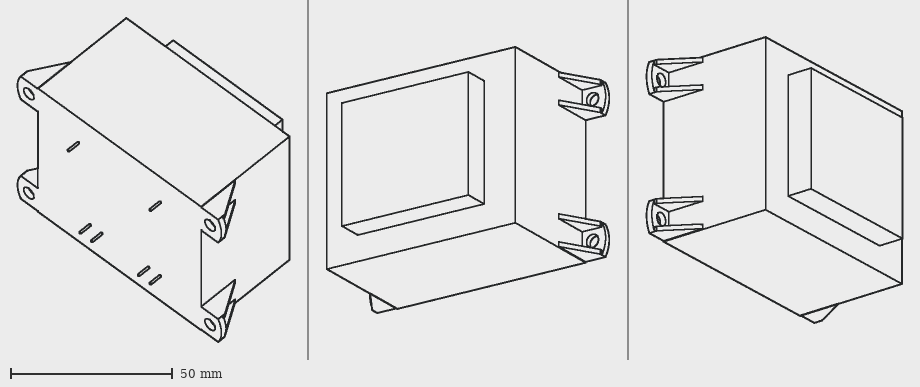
import cadquery as cq

body_width = 69.8
body_depth = 39.6
body_height = 58.6

block_width = 46.7
block_depth = 8.9
block_height = 41.0

overall_width = 87.2
lug_height = 10.9
lug_thickness = 2.1
lug_inset = 0.3
lug_tip_bulge = 1.4
hole_diameter = 4.4
hole_x = 38.7
lug_tip_x = overall_width / 2
lug_corner_x = lug_tip_x - lug_tip_bulge
lug_center_z = body_height / 2 - lug_inset - lug_height / 2

rib_thickness = 1.6
rib_depth = 15.3
rib_end_depth = 3.0

pin_diameter = 0.8
pin_length = 4.5
pin_span = 35.0
pin_pitch = pin_span / 7
pin_row_z = pin_span / 2
upper_pin_steps = (-3.5, 3.5)
lower_pin_steps = (-2.5, -1.5, 2.5, 3.5)


def make_block(width, depth, height, front_y):
    """Box centred on X and Z that extends towards +Y from front_y."""
    return cq.Workplane("XY").box(width, depth, height).translate((0, front_y + depth / 2, 0))


def make_rib(bottom_z):
    """Tapered rib standing on the +X side of the body."""
    return (
        cq.Workplane("XY", origin=(0, 0, bottom_z))
        .moveTo(body_width / 2, 0)
        .lineTo(lug_corner_x, 0)
        .lineTo(lug_corner_x, rib_end_depth)
        .lineTo(body_width / 2, rib_depth)
        .close()
        .extrude(rib_thickness)
    )


def make_lug():
    """Round-ended lug with its hole and two ribs, at the +X, +Z corner."""
    bottom_z = lug_center_z - lug_height / 2
    top_z = lug_center_z + lug_height / 2
    plate = (
        cq.Workplane("XZ")
        .moveTo(body_width / 2, bottom_z)
        .lineTo(lug_corner_x, bottom_z)
        .threePointArc((lug_tip_x, lug_center_z), (lug_corner_x, top_z))
        .lineTo(body_width / 2, top_z)
        .close()
        .extrude(-lug_thickness)
    )
    hole = (
        cq.Workplane("XZ")
        .center(hole_x, lug_center_z)
        .circle(hole_diameter / 2)
        .extrude(-lug_thickness)
    )
    lower_rib = make_rib(bottom_z)
    upper_rib = make_rib(top_z - rib_thickness)
    return plate.cut(hole).union(lower_rib).union(upper_rib)


def make_pins(steps, row_z):
    """Row of pins standing out of the mounting face towards -Y."""
    positions = [(step * pin_pitch, row_z) for step in steps]
    return cq.Workplane("XZ").pushPoints(positions).circle(pin_diameter / 2).extrude(pin_length)


result = make_block(body_width, body_depth, body_height, 0)
result = result.union(make_block(block_width, block_depth, block_height, body_depth))

right_lug = make_lug()
left_lug = right_lug.mirror("YZ")
for lug in (right_lug, left_lug):
    result = result.union(lug).union(lug.mirror("XY"))

result = result.union(make_pins(upper_pin_steps, pin_row_z))
result = result.union(make_pins(lower_pin_steps, -pin_row_z))